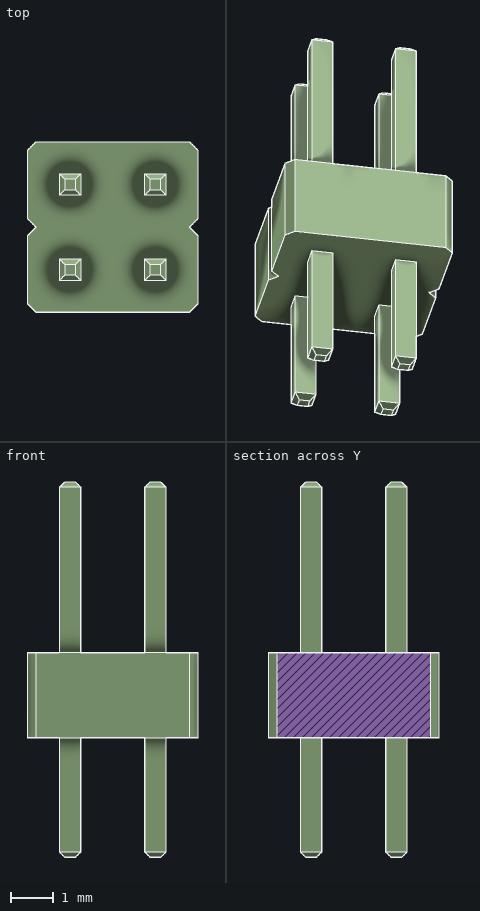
import cadquery as cq

pitch = 2.0
columns = 2
rows = 2

housing_height = 2.0
corner_chamfer = 0.2
notch_depth = 0.2
housing_length = columns * pitch
housing_width = rows * pitch

pin_side = 0.5
pin_above = 4.0
pin_below = 2.8
tip_chamfer = 0.125
pin_length = pin_below + housing_height + pin_above


def make_notch(side, y):
    """Vertical 90 degree V-groove cutter on the -X (side = -1) or +X (side = 1) face."""
    face_x = side * housing_length / 2
    return (
        cq.Workplane("XY")
        .moveTo(face_x, y - notch_depth)
        .lineTo(face_x - side * notch_depth, y)
        .lineTo(face_x, y + notch_depth)
        .close()
        .extrude(housing_height)
    )


def make_housing():
    """Block with chamfered vertical corners and V-grooves between the pin rows."""
    housing = (
        cq.Workplane("XY")
        .rect(housing_length, housing_width)
        .extrude(housing_height)
        .edges("|Z")
        .chamfer(corner_chamfer)
    )
    for boundary in range(1, rows):
        y = boundary * pitch - housing_width / 2
        for side in (-1, 1):
            housing = housing.cut(make_notch(side, y))
    return housing


def make_pins():
    """Grid of square pins with chamfered tips at both ends."""
    return (
        cq.Workplane("XY")
        .workplane(offset=-pin_below)
        .rarray(pitch, pitch, columns, rows)
        .rect(pin_side, pin_side)
        .extrude(pin_length)
        .faces("<Z or >Z")
        .chamfer(tip_chamfer)
    )


result = make_housing().union(make_pins())